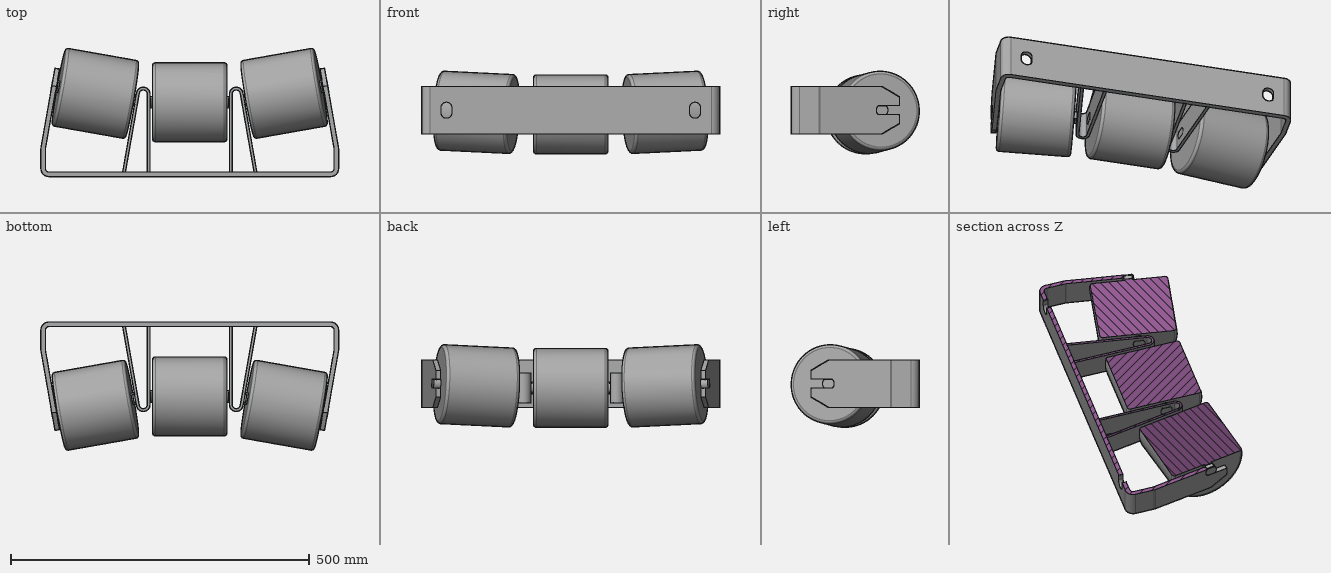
import cadquery as cq
import math

splay_angle = 10.0

bracket_length = 500.0
bracket_height = 80.0
bracket_thickness = 8.0
bracket_bend_radius = 10.0
arm_bend_start = 46.5
arm_length = 135.5
arm_chamfer_length = 30.0
arm_chamfer_height = 17.5
arm_slot_width = 15.0
arm_slot_depth = 40.0

mount_hole_x = 208.5
mount_hole_width = 18.5
mount_hole_height = 27.0

divider_thickness = 5.0
divider_height = 50.0
divider_inner_face = 66.5
divider_bend_radius = 9.0
divider_bend_y = 139.0

roller_diameter = 133.0
roller_length = 125.0
roller_edge_radius = 5.0
axle_diameter = 20.0
axle_flat_height = 14.5
axle_collar_length = 2.5
roller_gap = 4.0
centre_roller_y = 125.0
divider_axle_z = -7.0

splay = math.radians(splay_angle)
splay_sin = math.sin(splay)
splay_cos = math.cos(splay)

bracket_mid_x = (bracket_length - bracket_thickness) / 2
bracket_mid_y = bracket_thickness / 2
arm_start_x = bracket_mid_x - bracket_bend_radius * (1 - splay_cos)
arm_start_y = arm_bend_start + bracket_bend_radius * splay_sin
arm_tip_x = arm_start_x - arm_length * splay_sin
arm_tip_y = arm_start_y + arm_length * splay_cos

axle_radius = axle_diameter / 2
arm_axle_depth = arm_slot_depth - axle_radius
axle_end_divider = roller_gap + divider_thickness
axle_end_arm = roller_gap + bracket_thickness
outer_axle_span = roller_length + axle_end_arm + axle_end_divider
outer_roller_dip = math.degrees(math.asin(-divider_axle_z / outer_axle_span))


def bent_strip(path, start, direction, thickness, height):
    """Sheet of the given thickness and height, centred on Z = 0, swept along a path in XY."""
    section_plane = cq.Plane(origin=(*start, 0), xDir=(0, 0, 1), normal=(*direction, 0))
    return cq.Workplane(section_plane).rect(height, thickness).sweep(path)


def arm_plane(side):
    """Frame on an arm tip: local X toward the arm root, local Z outward across the sheet."""
    return cq.Plane(
        origin=(side * arm_tip_x, arm_tip_y, 0),
        xDir=(side * splay_sin, -splay_cos, 0),
        normal=(side * splay_cos, splay_sin, 0),
    )


def bracket_strip():
    r = bracket_bend_radius
    corner = r * (1 - math.sqrt(0.5))
    half_lean_x = r * (1 - math.cos(splay / 2))
    half_lean_y = r * math.sin(splay / 2)
    x = bracket_mid_x
    y = bracket_mid_y
    path = (
        cq.Workplane("XY")
        .moveTo(-arm_tip_x, arm_tip_y)
        .lineTo(-arm_start_x, arm_start_y)
        .threePointArc((-x + half_lean_x, arm_bend_start + half_lean_y), (-x, arm_bend_start))
        .lineTo(-x, y + r)
        .threePointArc((-x + corner, y + corner), (-x + r, y))
        .lineTo(x - r, y)
        .threePointArc((x - corner, y + corner), (x, y + r))
        .lineTo(x, arm_bend_start)
        .threePointArc((x - half_lean_x, arm_bend_start + half_lean_y), (arm_start_x, arm_start_y))
        .lineTo(arm_tip_x, arm_tip_y)
    )
    root_direction = (-splay_sin, -splay_cos)
    return bent_strip(path, (-arm_tip_x, arm_tip_y), root_direction, bracket_thickness, bracket_height)


def arm_cutouts(side):
    """Open axle slot with a rounded end, and the two chamfered tip corners."""
    plane = arm_plane(side)
    cut_depth = bracket_thickness
    slot = cq.Workplane(plane).rect(2 * arm_slot_depth, arm_slot_width).extrude(cut_depth, both=True)
    slot_end = cq.Workplane(plane).center(arm_axle_depth, 0).circle(axle_radius).extrude(cut_depth, both=True)
    open_part = cq.Workplane(plane).rect(2 * arm_axle_depth, arm_slot_width).extrude(cut_depth, both=True)
    cutouts = slot.intersect(slot_end).union(open_part)
    half_height = bracket_height / 2
    for up in (-1, 1):
        corner = (
            cq.Workplane(plane)
            .moveTo(0, up * half_height)
            .lineTo(arm_chamfer_length, up * half_height)
            .lineTo(0, up * (half_height - arm_chamfer_height))
            .close()
            .extrude(cut_depth, both=True)
        )
        cutouts = cutouts.union(corner)
    return cutouts


def mounting_holes():
    return (
        cq.Workplane("XZ")
        .pushPoints([(-mount_hole_x, 0), (mount_hole_x, 0)])
        .slot2D(mount_hole_height, mount_hole_width, 90)
        .extrude(-bracket_thickness)
    )


def make_bracket():
    body = bracket_strip().cut(mounting_holes())
    for side in (-1, 1):
        body = body.cut(arm_cutouts(side))
    return body


def make_divider(side):
    """Folded sheet: a straight leg by the centre roller, a leaning one by an outer roller."""
    r = divider_bend_radius
    straight_x = divider_inner_face + divider_thickness / 2
    bend_x = straight_x + r
    lean_x = bend_x + r * splay_cos
    lean_y = divider_bend_y + r * splay_sin
    foot_x = lean_x + lean_y * math.tan(splay)
    path = (
        cq.Workplane("XY")
        .moveTo(side * straight_x, 0)
        .lineTo(side * straight_x, divider_bend_y)
        .threePointArc((side * bend_x, divider_bend_y + r), (side * lean_x, lean_y))
        .lineTo(side * foot_x, 0)
    )
    strip = bent_strip(path, (side * straight_x, 0), (0, 1), divider_thickness, divider_height)
    below_plate_face = cq.Workplane("XY").box(bracket_length, 2 * bracket_thickness, bracket_height)
    return strip.cut(below_plate_face).translate((0, 0, divider_axle_z))


def axle_end(length):
    """Axle stub along +X from X = 0: a round collar, then two flats."""
    collar = cq.Workplane("YZ").circle(axle_radius).extrude(axle_collar_length)
    flats = cq.Workplane("XY").box(2 * length, axle_diameter, axle_flat_height)
    flatted = cq.Workplane("YZ").circle(axle_radius).extrude(length).intersect(flats)
    return collar.union(flatted)


def make_roller(left_axle_length, right_axle_length):
    """Roller centred on the origin with its axis along X."""
    half_length = roller_length / 2
    drum = (
        cq.Workplane("YZ", origin=(-half_length, 0, 0))
        .circle(roller_diameter / 2)
        .extrude(roller_length)
        .faces("<X or >X")
        .edges()
        .fillet(roller_edge_radius)
    )
    right_end = axle_end(right_axle_length).translate((half_length, 0, 0))
    left_end = axle_end(left_axle_length).mirror("YZ").translate((-half_length, 0, 0))
    return drum.union(right_end).union(left_end)


def make_centre_roller():
    return make_roller(axle_end_divider, axle_end_divider).translate((0, centre_roller_y, divider_axle_z))


def make_left_roller():
    """Outer roller carried by the left arm, dipping toward the left divider."""
    outer_face = arm_plane(-1).toWorldCoords((arm_axle_depth, 0, bracket_thickness / 2))
    arm_to_centre = axle_end_arm + roller_length / 2
    roller = make_roller(axle_end_arm, axle_end_divider).translate((arm_to_centre, 0, 0))
    roller = roller.rotate((0, 0, 0), (0, 1, 0), outer_roller_dip)
    roller = roller.rotate((0, 0, 0), (0, 0, 1), -splay_angle)
    return roller.translate(outer_face)


centre_roller = make_centre_roller()
left_roller = make_left_roller()
right_roller = left_roller.mirror("YZ")
rollers = [left_roller, centre_roller, right_roller]

bracket = make_bracket()
dividers = [make_divider(side) for side in (-1, 1)]

for roller in rollers:
    bracket = bracket.cut(roller)
    dividers = [divider.cut(roller) for divider in dividers]

result = cq.Compound.makeCompound(
    [
        bracket.val(),
        *[divider.val() for divider in dividers],
        *[roller.val() for roller in rollers],
    ]
)